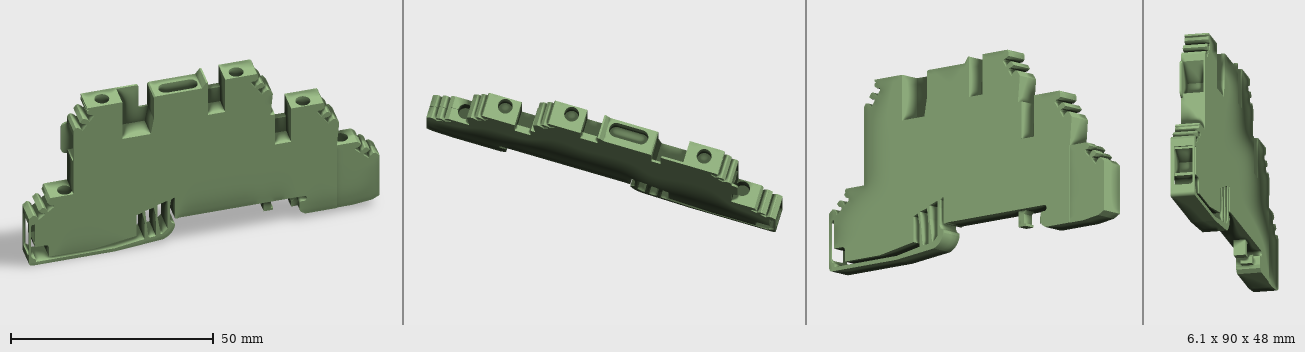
import cadquery as cq
import math

WIDTH = 6.1
LENGTH = 90.0
HEIGHT = 48.0

UPPER_DECK_Z = 46.4
MIDDLE_DECK_Z = 35.3
REAR_SHELF_Z = 20.8
FRONT_SHELF_Z = 20.25
BELLY_Z = 1.5
RAIL_Z = 7.1

REAR_WALL_Y = 78.9
FRONT_WALL_Y = 11.4

TOP_RACK = ((58.8, 46.4), (62.55, 40.9))
LEVEL_SHIFT_Y = 17.0
LEVEL_SHIFT_Z = HEIGHT - MIDDLE_DECK_Z
MIDDLE_RACK = tuple((y + LEVEL_SHIFT_Y, z - LEVEL_SHIFT_Z) for y, z in TOP_RACK)
REAR_RACK = ((85.2, 19.9), (LENGTH, 15.3))
UPPER_FRONT_RACK = ((14.9, 44.8), (11.4, 40.05))
LOWER_FRONT_RACK = ((4.95, 18.8), (0.0, 14.8))
GROOVE_PITCH = 3.1
GROOVE_OUTLINE = [
    (0.1, -0.7), (1.9, -0.7), (1.9, 0.1), (1.6, 0.4), (1.6, 1.4),
    (1.9, 2.2), (-0.1, 2.2), (-0.4, 1.7), (0.1, 1.0),
]

SOLE_CORNER_RADIUS = 0.9

TOP_NOTCH_Y = (45.9, 50.3)
TOP_NOTCH_Z = 42.3
MIDDLE_NOTCH_Y = (63.1, 67.2)
MIDDLE_NOTCH_Z = 29.3
MIDDLE_LEDGE_Z = 34.3
DECK_NOTCH_Y = (29.6, 32.0)
DECK_NOTCH_Z = 39.4
DECK_NOTCH_CHAMFER = 0.4

BRIDGE_WALL = 1.6
DECK_POCKET_WALL = 0.5
DECK_POCKET_Y = 23.9
DECK_POCKET_REAR_LEAN = 0.8
POCKET_DEPTH = 4.5

HOLE_DIAMETER = 3.7
HOLE_DEPTH = 4.5
HOLE_X = 4.0
COVER_LIFT = 0.3
END_HOLE = (3.0, 80.8, REAR_SHELF_Z + COVER_LIFT)
SCREW_HOLES = [
    (HOLE_X, 70.8, MIDDLE_DECK_Z),
    (HOLE_X, 53.7, HEIGHT),
    (3.4, 19.4, UPPER_DECK_Z),
    (HOLE_X, 9.7, FRONT_SHELF_Z),
]
TEST_SLOT_X = 3.6
TEST_SLOT_Y = (33.9, 43.9)
TEST_SLOT_WIDTH = 3.6

UPPER_FUNNEL_X = (0.5, 5.8)
UPPER_FUNNEL_Z = (30.1, 38.3)
UPPER_FUNNEL_THROAT_Z = 33.9
LOWER_FUNNEL_X = (0.9, 5.7)
LOWER_FUNNEL_Z = (6.4, 12.8)
LOWER_FUNNEL_THROAT_Z = 10.4
LOWER_FUNNEL_Y = 1.5
FUNNEL_DEPTH = 4.5
END_WINDOW_BOTTOM = 2.9
END_WINDOW_RADIUS = 0.7
END_WALL = 0.5
SOLE_THICKNESS = 1.0

CHEEK_THICKNESS = 0.5
CHEEK_REACH = 1.6
CHEEK_Z = (29.0, 38.4)
CHEEK_CORNER = 1.4

COVER_X = (3.0, 5.9)

HOOK_X = (1.5, 4.5)
HOOK_FOOT_Z = 3.15
HOOK_WALL_Y = 69.4
HOOK_REACH_Y = 67.7
HOOK_TOE_Y = 63.1
HOOK_FRONT_Y = 60.7


def prism(outline, x_start=0.0, x_end=WIDTH):
    """Solid from a closed (Y, Z) outline between two X positions."""
    return cq.Workplane("YZ", origin=(x_start, 0, 0)).polyline(outline).close().extrude(x_end - x_start)


def block(x_range, y_range, z_range):
    """Box between the given limits."""
    sizes = [high - low for low, high in (x_range, y_range, z_range)]
    corner = (x_range[0], y_range[0], z_range[0])
    return cq.Workplane("XY", origin=corner).box(*sizes, centered=False)


def cut_rack_grooves(body, rack, lift=0.0):
    """Cut the two undercut grooves of a sloped marker rack."""
    (start_y, start_z), (end_y, end_z) = rack
    run = math.hypot(end_y - start_y, end_z - start_z)
    along_y = (end_y - start_y) / run
    along_z = (end_z - start_z) / run
    inward_y = math.copysign(along_z, -along_y)
    inward_z = -abs(along_y)
    for offset in (0.0, GROOVE_PITCH):
        outline = []
        for distance, depth in GROOVE_OUTLINE:
            y = start_y + (distance + offset) * along_y + depth * inward_y
            z = start_z + lift + (distance + offset) * along_z + depth * inward_z
            outline.append((y, z))
        body = body.cut(prism(outline))
    return body


def drill(body, x, y, rim_z):
    """Blind round hole going down from the given level."""
    hole = cq.Workplane("XY", origin=(x, y, rim_z)).circle(HOLE_DIAMETER / 2).extrude(-HOLE_DEPTH)
    return body.cut(hole)


def rear_end_outline(lift=0.0):
    """Points from the rear shelf round the rear end to the belly."""
    return [
        (REAR_WALL_Y, REAR_SHELF_Z + lift),
        (84.2, REAR_SHELF_Z + lift),
        (REAR_RACK[0][0], REAR_RACK[0][1] + lift),
        (REAR_RACK[1][0], REAR_RACK[1][1] + lift),
        (LENGTH, 3.15),
        (88.1, 2.2),
        (83.0, BELLY_Z),
    ]


def make_body_block():
    """Full-width plate with the stepped outline, rail seat and spring foot."""
    notch_front, notch_rear = DECK_NOTCH_Y
    notch_shoulder_z = UPPER_DECK_Z - DECK_NOTCH_CHAMFER
    claw_underside = [(70.8, BELLY_Z), (69.7, 2.3), (HOOK_WALL_Y, 3.15), (HOOK_WALL_Y, 4.9)]
    spring_foot_back = [
        (37.4, 13.6), (37.1, 13.6), (36.45, 13.1), (36.2, 11.25),
        (36.2, 7.0), (36.5, 5.9), (37.4, 5.4), (37.4, 4.8),
    ]
    sole = [(22.05, 0), (SOLE_CORNER_RADIUS, 0)]
    front_steps = [
        *reversed(LOWER_FRONT_RACK), (5.3, 19.4), (5.1, 19.7), (5.5, FRONT_SHELF_Z),
        (FRONT_WALL_Y, FRONT_SHELF_Z),
        *reversed(UPPER_FRONT_RACK), (14.9, 45.45), (15.4, 45.7), (14.9, 46.0), (14.9, UPPER_DECK_Z),
    ]
    deck = [
        (notch_front - DECK_NOTCH_CHAMFER, UPPER_DECK_Z), (notch_front, notch_shoulder_z),
        (notch_front, DECK_NOTCH_Z), (notch_rear, DECK_NOTCH_Z),
        (notch_rear, notch_shoulder_z), (notch_rear + DECK_NOTCH_CHAMFER, UPPER_DECK_Z),
        (44.4, UPPER_DECK_Z), (45.45, HEIGHT), (TOP_NOTCH_Y[0], HEIGHT),
    ]
    top_tower = [
        (TOP_NOTCH_Y[0], TOP_NOTCH_Z), (TOP_NOTCH_Y[1], TOP_NOTCH_Z), (TOP_NOTCH_Y[1], HEIGHT),
        (58.5, HEIGHT), (58.8, 47.4), *TOP_RACK,
    ]
    middle_tower = [
        (61.9, MIDDLE_LEDGE_Z), (MIDDLE_NOTCH_Y[0], MIDDLE_LEDGE_Z), (MIDDLE_NOTCH_Y[0], MIDDLE_NOTCH_Z),
        (MIDDLE_NOTCH_Y[1], MIDDLE_NOTCH_Z), (MIDDLE_NOTCH_Y[1], MIDDLE_DECK_Z),
        (75.5, MIDDLE_DECK_Z), (75.8, 34.7), *MIDDLE_RACK,
    ]
    outline = (
        cq.Workplane("YZ")
        .polyline(rear_end_outline() + claw_underside)
        .threePointArc((69.6, 5.4), (70.1, 5.6))
        .lineTo(70.65, 5.6)
        .threePointArc((71.3, 6.2), (70.65, RAIL_Z))
        .lineTo(38.5, RAIL_Z)
        .threePointArc((38.0, 6.9), (37.4, RAIL_Z))
        .polyline(spring_foot_back, includeCurrent=True)
        .threePointArc((36.3, 2.4), (34.3, 1.2))
        .polyline(sole, includeCurrent=True)
        .radiusArc((0, SOLE_CORNER_RADIUS), SOLE_CORNER_RADIUS)
        .polyline(front_steps + deck + top_tower + middle_tower, includeCurrent=True)
        .close()
    )
    return outline.extrude(WIDTH)


def cut_spring_windows(body):
    """Cut the two windows between the foot ribs and the long gap above the sole."""
    rear_window = [(35.55, 13.05), (32.9, 12.2), (32.9, 8.8), (33.75, 3.0), (34.3, 3.0), (35.55, 4.2)]
    front_window = [(32.0, 11.6), (29.8, 11.1), (30.6, 2.9), (31.0, 2.4), (32.6, 2.6), (32.5, 8.9)]
    body = body.cut(prism(rear_window)).cut(prism(front_window))
    gap_roof = [(5.1, 4.8), (5.1, 1.9), (16.6, 1.9), (27.6, 3.7), (27.6, 10.2), (29.1, 10.7), (29.7, 7.4)]
    gap_floor = [(29.6, 2.25), (22.05, SOLE_THICKNESS), (1.8, SOLE_THICKNESS), (1.8, 1.7), (1.1, 2.2)]
    end_gap = [
        (END_WALL, END_WINDOW_BOTTOM), (END_WALL, 12.2), (0.8, LOWER_FUNNEL_Z[1]),
        (LOWER_FUNNEL_Y, LOWER_FUNNEL_Z[1]), (LOWER_FUNNEL_Y, 5.7), (4.2, 5.7),
    ]
    gap = (
        cq.Workplane("YZ")
        .polyline(gap_roof + gap_floor + end_gap)
        .threePointArc((4.9, 5.4), gap_roof[0])
        .close()
        .extrude(WIDTH)
    )
    return body.cut(gap)


def cut_notch_pockets(body):
    """Deepen the notches behind a thin wall on the -X side."""
    bridge_x = (BRIDGE_WALL, WIDTH)
    body = body.cut(block(bridge_x, TOP_NOTCH_Y, (TOP_NOTCH_Z - POCKET_DEPTH, TOP_NOTCH_Z)))
    body = body.cut(block(bridge_x, MIDDLE_NOTCH_Y, (MIDDLE_NOTCH_Z - POCKET_DEPTH, MIDDLE_NOTCH_Z)))
    deck_x = (DECK_POCKET_WALL, WIDTH)
    deck_y = (DECK_POCKET_Y, DECK_NOTCH_Y[0])
    floor_z = DECK_NOTCH_Z - POCKET_DEPTH
    lower_pocket = [
        (DECK_POCKET_Y, floor_z), (DECK_NOTCH_Y[1] - DECK_POCKET_REAR_LEAN, floor_z),
        (DECK_NOTCH_Y[1], DECK_NOTCH_Z), (DECK_POCKET_Y, DECK_NOTCH_Z),
    ]
    body = body.cut(prism(lower_pocket, *deck_x))
    return body.cut(block(deck_x, deck_y, (DECK_NOTCH_Z, UPPER_DECK_Z)))


def cut_test_slot(body):
    """Long round-ended slot in the deck."""
    front, rear = TEST_SLOT_Y
    centre = (TEST_SLOT_X, (front + rear) / 2, UPPER_DECK_Z)
    slot = cq.Workplane("XY", origin=centre).slot2D(rear - front, TEST_SLOT_WIDTH, 90).extrude(-HOLE_DEPTH)
    return body.cut(slot)


def cut_funnel(body, x_range, mouth_y, z_range, throat_z):
    """Wire entry whose ceiling slopes down to a flat back wall."""
    floor_z, ceiling_z = z_range
    back_y = mouth_y + FUNNEL_DEPTH
    outline = [(mouth_y, floor_z), (mouth_y, ceiling_z), (back_y, throat_z), (back_y, floor_z)]
    return body.cut(prism(outline, *x_range))


def cut_end_window(body):
    """Window with rounded lower corners through the thin front end wall."""
    window = block(LOWER_FUNNEL_X, (0, END_WALL), (END_WINDOW_BOTTOM, LOWER_FUNNEL_Z[1]))
    return body.cut(window.edges("|Y and <Z").fillet(END_WINDOW_RADIUS))


def make_cheek():
    """Thin rounded plate standing out beside the upper funnel."""
    plate = block((0, CHEEK_THICKNESS), (FRONT_WALL_Y - CHEEK_REACH, FRONT_WALL_Y), CHEEK_Z)
    return plate.edges("|X and <Y").fillet(CHEEK_CORNER)


def make_housing():
    """Main housing with every opening."""
    body = cut_spring_windows(make_body_block())
    for rack in (TOP_RACK, MIDDLE_RACK, REAR_RACK, UPPER_FRONT_RACK, LOWER_FRONT_RACK):
        body = cut_rack_grooves(body, rack)
    body = cut_test_slot(cut_notch_pockets(body))
    for hole in SCREW_HOLES:
        body = drill(body, *hole)
    body = cut_funnel(body, UPPER_FUNNEL_X, FRONT_WALL_Y, UPPER_FUNNEL_Z, UPPER_FUNNEL_THROAT_Z)
    body = cut_funnel(body, LOWER_FUNNEL_X, LOWER_FUNNEL_Y, LOWER_FUNNEL_Z, LOWER_FUNNEL_THROAT_Z)
    body = cut_end_window(body).union(make_cheek())
    cover_space = block((COVER_X[0], WIDTH), (REAR_WALL_Y, LENGTH), (0, REAR_SHELF_Z + COVER_LIFT))
    return drill(body.cut(cover_space), *END_HOLE)


def make_end_cover():
    """Half-width cover that closes the rear end, slightly higher than the shelf beside it."""
    outline = rear_end_outline(COVER_LIFT) + [(REAR_WALL_Y, BELLY_Z)]
    cover = cut_rack_grooves(prism(outline, *COVER_X), REAR_RACK, COVER_LIFT)
    return drill(cover, *END_HOLE)


def make_rear_hook():
    """Small bevelled block against the rear rail claw."""
    outline = [
        (HOOK_WALL_Y, 4.9), (68.9, 5.7), (HOOK_REACH_Y, 4.7),
        (HOOK_REACH_Y, HOOK_FOOT_Z), (HOOK_WALL_Y, HOOK_FOOT_Z),
    ]
    return prism(outline, *HOOK_X)


def make_front_hook():
    """Hook hanging from the rail seat, with a small toe to the rear."""
    outline = [
        (63.2, RAIL_Z), (62.5, 6.2), (62.55, 3.8), (HOOK_TOE_Y, 3.8),
        (HOOK_TOE_Y, HOOK_FOOT_Z), (HOOK_FRONT_Y, HOOK_FOOT_Z), (HOOK_FRONT_Y, RAIL_Z),
    ]
    return prism(outline, *HOOK_X)


housing = make_housing()
end_cover = make_end_cover()
rear_hook = make_rear_hook()
front_hook = make_front_hook()
result = cq.Compound.makeCompound([
    housing.solids().val(),
    end_cover.solids().val(),
    rear_hook.val(),
    front_hook.val(),
])